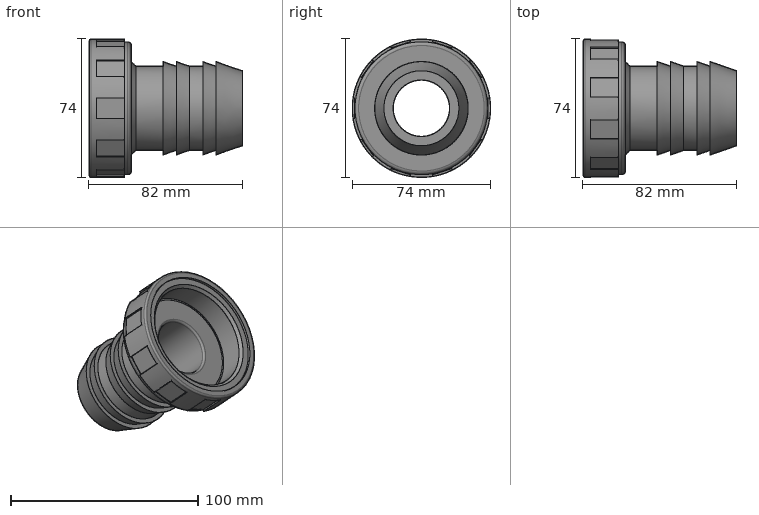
import cadquery as cq

overall_length = 82.0

nut_radius = 37.0
nut_front_fillet = 1.1
grip_end = 18.8
collar_radius = 35.5
collar_fillet = 2.0
nut_length = 22.55

pocket_count = 10
pocket_start = 3.8
pocket_width = 10.9
pocket_floor = 35.7

recess_radius = 33.3
recess_depth = 1.4
bore_radius = 28.3
bore_chamfer = 1.55
bore_depth = 16.5

flange_radius = 27.4
tail_radius = 22.55
neck_start = 24.9
tail_bore_radius = 15.0
tail_bore_fillet = 1.15
barb_radius = 25.0
barb_length = 7.05
first_pair_start = 39.5
second_pair_start = first_pair_start + 3 * barb_length

barb_slope = (barb_radius - tail_radius) / barb_length
tip_radius = barb_radius - barb_slope * (overall_length - second_pair_start - barb_length)

cone_start = neck_start - (flange_radius - tail_radius)
cone_radius_at_nut_back = tail_radius + neck_start - nut_length

SMALLEST_RADIUS = cq.selectors.RadiusNthSelector(0)
LARGEST_RADIUS = cq.selectors.RadiusNthSelector(-1)


def revolve_about_x(points):
    """Turn a closed (X, radius) outline around the X axis."""
    return cq.Workplane("XY").polyline(points).close().revolve(360, (0, 0, 0), (1, 0, 0))


def make_nut_ring():
    """Ring with the front recess, chamfered bore and conical seat."""
    ring = revolve_about_x([
        (0, recess_radius),
        (0, nut_radius),
        (grip_end, nut_radius),
        (grip_end, collar_radius),
        (nut_length, collar_radius),
        (nut_length, cone_radius_at_nut_back),
        (cone_start, flange_radius),
        (bore_depth, flange_radius),
        (bore_depth, bore_radius),
        (recess_depth + bore_chamfer, bore_radius),
        (recess_depth, bore_radius + bore_chamfer),
        (recess_depth, recess_radius),
    ])
    ring = ring.faces("<X").edges(LARGEST_RADIUS).fillet(nut_front_fillet)
    return ring.faces(">X").edges(LARGEST_RADIUS).fillet(collar_fillet)


def make_grip_pocket(angle):
    """Cutter for one flat-floored pocket; angle 0 faces -Y."""
    cutter_height = 2 * (nut_radius - pocket_floor)
    return (
        cq.Workplane("XY")
        .box(grip_end - pocket_start, cutter_height, pocket_width, centered=(False, False, True))
        .translate((pocket_start, -pocket_floor - cutter_height, 0))
        .rotate((0, 0, 0), (1, 0, 0), angle)
    )


def make_nut():
    nut = make_nut_ring()
    for index in range(pocket_count):
        nut = nut.cut(make_grip_pocket(index * 360 / pocket_count))
    return nut


def barb_pair(start):
    """Outline points of two barbs in a row, from the foot of the first to the crest of the second."""
    second = start + barb_length
    return [
        (start, tail_radius),
        (start, barb_radius),
        (second, tail_radius),
        (second, barb_radius),
    ]


def make_tail():
    """Hose tail: flange, conical back, two pairs of barbs and a through bore."""
    outline = [
        (bore_depth, tail_bore_radius),
        (bore_depth, flange_radius),
        (cone_start, flange_radius),
        (neck_start, tail_radius),
        *barb_pair(first_pair_start),
        (first_pair_start + 2 * barb_length, tail_radius),
        *barb_pair(second_pair_start),
        (overall_length, tip_radius),
        (overall_length, tail_bore_radius),
    ]
    tail = revolve_about_x(outline)
    return tail.faces("<X").edges(SMALLEST_RADIUS).fillet(tail_bore_fillet)


nut = make_nut()
tail = make_tail()

result = cq.Compound.makeCompound([nut.solids().val(), tail.solids().val()])